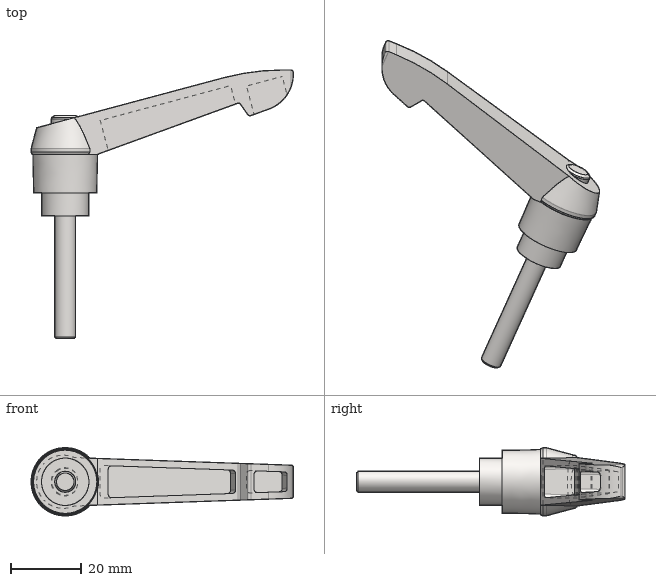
import cadquery as cq
import math


STUD_RADIUS = 3.0
STUD_LENGTH = 35.0
STUD_CHAMFER = 0.5
COLLAR_RADIUS = 6.75

HUB_BOTTOM_Y = 6.5
HUB_BOTTOM_RADIUS = 9.0
HUB_SHOULDER_Y = 17.5
HUB_SHOULDER_RADIUS = 9.25
RIM_RADIUS = 9.745
RIM_CHAMFER_RADIUS = 9.45
RIM_BOTTOM_Y = 18.1
RIM_TOP_Y = 19.1
CONE_ANGLE = 15.0

SCREW_RADIUS = 4.0
SCREW_TOP_Y = 28.6
SCREW_TOP_RADIUS = 2.95
SCREW_BEVEL_RADIUS = 3.85
SCREW_BEVEL_HEIGHT = 0.6
SCREW_TAPER_HEIGHT = 0.4

TOP_SLOPE = 15.0
TOP_Y_AT_AXIS = 27.25
UNDERSIDE_SLOPE = 20.0
ARM_TOP_Y = 41.55
TIP_X = 65.0
TOP_BEND_RADIUS = 65.0
TIP_LOWER_RADIUS = 10.7
TIP_UPPER_RADIUS = 0.8

NOTCH_X = 49.6
NOTCH_ANGLE = 55.0
NOTCH_LENGTH = 4.75
NOTCH_ROOT_RADIUS = 0.6
NOTCH_LIP_RADIUS = 0.8

HALF_WIDTH_AT_AXIS = 7.0
WIDTH_DRAFT = 2.0
TIP_CORNER_RADIUS = 0.7

SIDE_WALL = 2.0
POCKET_CORNER_RADIUS = 1.0
LONG_POCKET_START_X = 12.25
LONG_POCKET_END_X = 48.5
LONG_POCKET_FLOOR_INSET = 2.7
SHORT_POCKET_START_X = 53.8
SHORT_POCKET_END_X = 63.2
SHORT_POCKET_FLOOR_INSET = 4.0

top_rise = math.tan(math.radians(TOP_SLOPE))
top_cos = math.cos(math.radians(TOP_SLOPE))
underside_rise = math.tan(math.radians(UNDERSIDE_SLOPE))
width_loss = math.tan(math.radians(WIDTH_DRAFT))


def top_y(x):
    """Height of the sloped top plane shared by the hub and the arm."""
    return TOP_Y_AT_AXIS + x * top_rise


def underside_y(x):
    """Height of the sloped underside between the hub and the notch."""
    return HUB_SHOULDER_Y + (x - HUB_SHOULDER_RADIUS) * underside_rise


notch_root = (NOTCH_X, underside_y(NOTCH_X))
notch_lip = (
    NOTCH_X + NOTCH_LENGTH * math.cos(math.radians(NOTCH_ANGLE)),
    notch_root[1] - NOTCH_LENGTH * math.sin(math.radians(NOTCH_ANGLE)),
)


def tip_underside_y(x):
    """Height of the underside line beyond the notch."""
    return notch_lip[1] + (x - notch_lip[0]) * underside_rise


def revolve_about_y(points):
    """Turn a closed (radius, y) outline about the clamping axis."""
    return cq.Workplane("XY").polyline(points).close().revolve(360, (0, 0), (0, 1))


def make_stud_and_collar():
    tip_y = -STUD_LENGTH
    return revolve_about_y([
        (0, tip_y),
        (STUD_RADIUS - STUD_CHAMFER, tip_y),
        (STUD_RADIUS, tip_y + STUD_CHAMFER),
        (STUD_RADIUS, 0),
        (COLLAR_RADIUS, 0),
        (COLLAR_RADIUS, HUB_BOTTOM_Y),
        (0, HUB_BOTTOM_Y),
    ])


def make_hub():
    cone_height = ARM_TOP_Y - RIM_TOP_Y
    cone_top_radius = RIM_RADIUS - cone_height * math.tan(math.radians(CONE_ANGLE))
    hub = revolve_about_y([
        (0, HUB_BOTTOM_Y),
        (HUB_BOTTOM_RADIUS, HUB_BOTTOM_Y),
        (HUB_SHOULDER_RADIUS, HUB_SHOULDER_Y),
        (RIM_CHAMFER_RADIUS, HUB_SHOULDER_Y),
        (RIM_RADIUS, RIM_BOTTOM_Y),
        (RIM_RADIUS, RIM_TOP_Y),
        (cone_top_radius, ARM_TOP_Y),
        (0, ARM_TOP_Y),
    ])
    reach = 2 * RIM_RADIUS
    above_top = [
        (-reach, top_y(-reach)),
        (reach, top_y(reach)),
        (reach, 2 * ARM_TOP_Y),
        (-reach, 2 * ARM_TOP_Y),
    ]
    cutter = cq.Workplane("XY").polyline(above_top).close().extrude(reach, both=True)
    return hub.cut(cutter)


def make_screw_head():
    bevel_y = SCREW_TOP_Y - SCREW_BEVEL_HEIGHT
    return revolve_about_y([
        (0, RIM_TOP_Y),
        (SCREW_RADIUS, RIM_TOP_Y),
        (SCREW_RADIUS, bevel_y - SCREW_TAPER_HEIGHT),
        (SCREW_BEVEL_RADIUS, bevel_y),
        (SCREW_TOP_RADIUS, SCREW_TOP_Y),
        (0, SCREW_TOP_Y),
    ])


def round_edge_at(solid, x, y, radius):
    """Round the edge parallel to Z that passes through (x, y)."""
    return solid.edges(cq.selectors.NearestToPointSelector((x, y, 0))).fillet(radius)


def make_arm_plate():
    """Arm outline at full thickness, with all bends and corners rounded."""
    bend = ((ARM_TOP_Y - TOP_Y_AT_AXIS) / top_rise, ARM_TOP_Y)
    tip_top = (TIP_X, ARM_TOP_Y)
    tip_bottom = (TIP_X, tip_underside_y(TIP_X))
    outline = [
        (0, TOP_Y_AT_AXIS),
        bend,
        tip_top,
        tip_bottom,
        notch_lip,
        notch_root,
        (HUB_SHOULDER_RADIUS, HUB_SHOULDER_Y),
        (0, HUB_SHOULDER_Y),
    ]
    plate = cq.Workplane("XY").polyline(outline).close().extrude(HALF_WIDTH_AT_AXIS, both=True)
    roundings = [
        (bend, TOP_BEND_RADIUS),
        (notch_root, NOTCH_ROOT_RADIUS),
        (notch_lip, NOTCH_LIP_RADIUS),
        (tip_bottom, TIP_LOWER_RADIUS),
        (tip_top, TIP_UPPER_RADIUS),
    ]
    for corner, radius in roundings:
        plate = round_edge_at(plate, *corner, radius)
    return plate


def make_taper(inset, length):
    """Wedge bounding the thickness from the axis to x = length, its sides moved inward by inset."""
    root = HALF_WIDTH_AT_AXIS - inset
    tip = root - length * width_loss
    outline = [(0, -root), (length, -tip), (length, tip), (0, root)]
    return cq.Workplane("XZ").polyline(outline).close().extrude(-ARM_TOP_Y)


def make_arm():
    taper = make_taper(0, TIP_X).edges("|Y and >X").fillet(TIP_CORNER_RADIUS)
    return make_arm_plate().intersect(taper)


def make_pocket(start, end, floor_inset):
    """Pocket with end walls through start and end, square to a floor parallel to the sloped top."""
    floor_y_at_axis = TOP_Y_AT_AXIS - floor_inset / top_cos

    def mouth_corner(point):
        return (point[0] + (point[1] - HUB_SHOULDER_Y) * top_rise, HUB_SHOULDER_Y)

    def floor_corner(point):
        gap = floor_y_at_axis + point[0] * top_rise - point[1]
        height = gap * top_cos ** 2
        return (point[0] - height * top_rise, point[1] + height)

    core = [mouth_corner(start), mouth_corner(end), floor_corner(end), floor_corner(start)]
    pocket = cq.Workplane("XY").polyline(core).close().extrude(HALF_WIDTH_AT_AXIS, both=True)
    pocket = pocket.intersect(make_taper(SIDE_WALL, mouth_corner(end)[0]))
    for end_face in (">X", "<X"):
        pocket = pocket.faces(end_face).edges("not |Z").fillet(POCKET_CORNER_RADIUS)
    return pocket


def tip_arc_y(x):
    """Height of the rounded underside near the tip."""
    slope = math.radians(UNDERSIDE_SLOPE)
    center_x = TIP_X - TIP_LOWER_RADIUS
    center_y = tip_underside_y(center_x) + TIP_LOWER_RADIUS / math.cos(slope)
    return center_y - math.sqrt(TIP_LOWER_RADIUS ** 2 - (x - center_x) ** 2)


def make_long_pocket():
    start = (LONG_POCKET_START_X, underside_y(LONG_POCKET_START_X))
    end = (LONG_POCKET_END_X, underside_y(LONG_POCKET_END_X))
    return make_pocket(start, end, LONG_POCKET_FLOOR_INSET)


def make_short_pocket():
    start = (SHORT_POCKET_START_X, tip_underside_y(SHORT_POCKET_START_X))
    end = (SHORT_POCKET_END_X, tip_arc_y(SHORT_POCKET_END_X))
    return make_pocket(start, end, SHORT_POCKET_FLOOR_INSET)


arm = make_arm().cut(make_long_pocket()).cut(make_short_pocket())
result = make_hub().union(make_stud_and_collar()).union(make_screw_head()).union(arm)